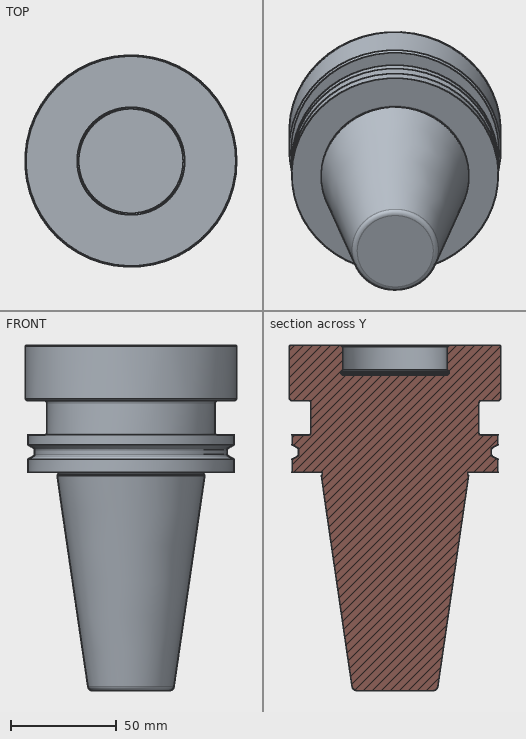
import cadquery as cq

total_height = 163.2
head_radius = 100.0 / 2
head_bottom = 137.0
head_bottom_chamfer = 1.0
head_top_chamfer = 0.5

neck_radius = 39.8
neck_top_fillet = 0.8
neck_bottom_fillet = 0.8

flange_radius = 48.8
flange_bottom = 103.2
flange_top = 121.0
groove_radius = 45.5
groove_center = 112.8
groove_floor_height = 3.3
groove_flank_height = 1.8
groove_fillet = 0.8

taper_length = 101.7
taper_large_radius = 35.0
taper_small_radius = taper_large_radius - taper_length * 7 / 24 / 2
taper_end_fillet = 2.5

relief_radius = 34.5
relief_fillet = 0.5
relief_chamfer = taper_large_radius - relief_radius

bore_radius = 24.7
bore_depth = 14.0
bore_mouth_chamfer = 0.8
undercut_depth = 0.8
undercut_wall_height = 0.8

groove_floor_low = groove_center - groove_floor_height / 2
groove_floor_high = groove_center + groove_floor_height / 2
bore_floor = total_height - bore_depth


def revolve_profile(points):
    """Turn a closed (radius, height) outline around the Z axis."""
    return cq.Workplane("XZ").polyline(points).close().revolve(360, (0, 0, 0), (0, 1, 0))


def fillet_ring(body, radius, height, size):
    """Round the circular edge of the given radius at the given height."""
    margin = 0.02
    reach = radius + margin
    ring = cq.selectors.BoxSelector(
        (-reach, -reach, height - margin),
        (reach, reach, height + margin),
        boundingbox=True,
    )
    return body.edges(ring).edges(cq.selectors.RadiusNthSelector(-1)).fillet(size)


def make_body():
    body = revolve_profile([
        (0, 0),
        (taper_small_radius, 0),
        (taper_large_radius, taper_length),
        (relief_radius, taper_length + relief_chamfer),
        (relief_radius, flange_bottom),
        (flange_radius, flange_bottom),
        (flange_radius, groove_floor_low - groove_flank_height),
        (groove_radius, groove_floor_low),
        (groove_radius, groove_floor_high),
        (flange_radius, groove_floor_high + groove_flank_height),
        (flange_radius, flange_top),
        (neck_radius, flange_top),
        (neck_radius, head_bottom),
        (head_radius - head_bottom_chamfer, head_bottom),
        (head_radius, head_bottom + head_bottom_chamfer),
        (head_radius, total_height - head_top_chamfer),
        (head_radius - head_top_chamfer, total_height),
        (0, total_height),
    ])
    body = fillet_ring(body, taper_small_radius, 0, taper_end_fillet)
    body = fillet_ring(body, relief_radius, flange_bottom, relief_fillet)
    body = fillet_ring(body, groove_radius, groove_floor_low, groove_fillet)
    body = fillet_ring(body, groove_radius, groove_floor_high, groove_fillet)
    body = fillet_ring(body, neck_radius, flange_top, neck_bottom_fillet)
    return fillet_ring(body, neck_radius, head_bottom, neck_top_fillet)


def make_bore():
    undercut_radius = bore_radius + undercut_depth
    undercut_wall_bottom = bore_floor + undercut_depth
    undercut_wall_top = undercut_wall_bottom + undercut_wall_height
    return revolve_profile([
        (0, bore_floor),
        (bore_radius, bore_floor),
        (undercut_radius, undercut_wall_bottom),
        (undercut_radius, undercut_wall_top),
        (bore_radius, undercut_wall_top + undercut_depth),
        (bore_radius, total_height - bore_mouth_chamfer),
        (bore_radius + bore_mouth_chamfer, total_height),
        (0, total_height),
    ])


result = make_body().cut(make_bore())